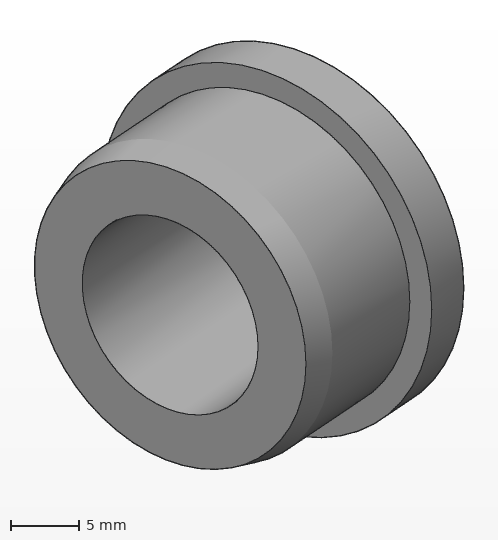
import cadquery as cq
import math

flange_diameter = 30.0
body_diameter = 26.0
bore_diameter = 16.0
total_length = 16.0
flange_thickness = 4.0
taper_length = 2.43
taper_angle = 15.0

flange_radius = flange_diameter / 2
body_radius = body_diameter / 2
bore_radius = bore_diameter / 2
tip_radius = body_radius - taper_length * math.tan(math.radians(taper_angle))
flange_face_y = total_length - flange_thickness

half_section = (
    cq.Workplane("XY")
    .moveTo(bore_radius, 0)
    .lineTo(tip_radius, 0)
    .lineTo(body_radius, taper_length)
    .lineTo(body_radius, flange_face_y)
    .lineTo(flange_radius, flange_face_y)
    .lineTo(flange_radius, total_length)
    .lineTo(bore_radius, total_length)
    .close()
)

result = half_section.revolve(360, (0, 0, 0), (0, 1, 0))